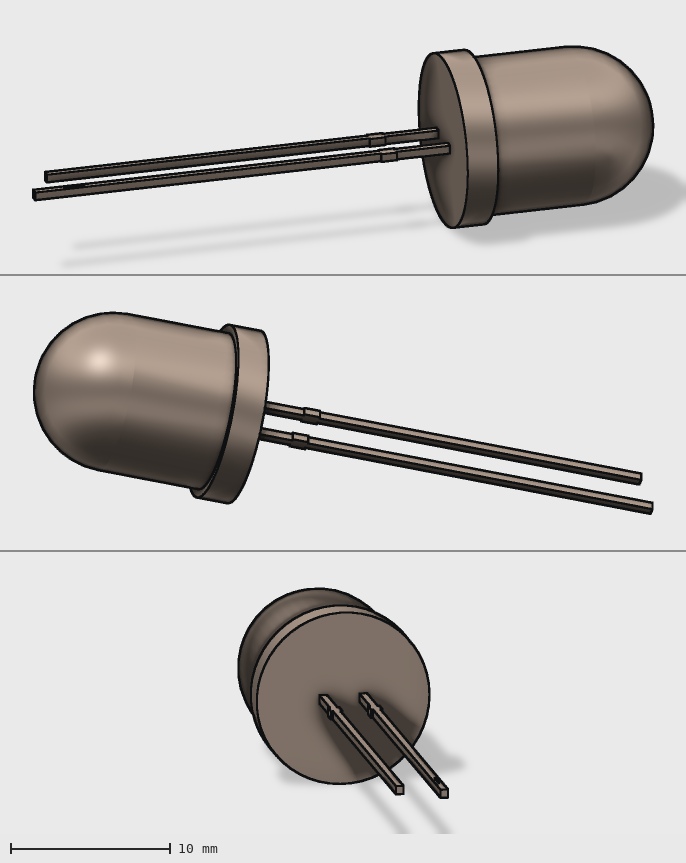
import cadquery as cq

lens_diameter = 9.95
lens_radius = lens_diameter / 2
lens_height = 13.5
flange_diameter = 11.0
flange_thickness = 2.0

overall_length = 40.5
lead_width = 0.5
lead_thickness = 0.53
lead_spacing = 2.55
long_lead = overall_length - lens_height
lead_difference = 1.5
short_lead = long_lead - lead_difference

standoff_width = 0.73
standoff_length = 1.0
standoff_offset = 3.5

notch_length = 1.35
notch_bulge = 0.1
notch_depth = 0.1
notch_tip_distance = 2.6


def make_lens():
    """Revolve the half profile of flange, cylinder and dome about Y."""
    flange_radius = flange_diameter / 2
    dome_start = lens_height - lens_radius
    return (
        cq.Workplane("XY")
        .lineTo(flange_radius, 0)
        .lineTo(flange_radius, flange_thickness)
        .lineTo(lens_radius, flange_thickness)
        .lineTo(lens_radius, dome_start)
        .radiusArc((0, lens_height), -lens_radius)
        .close()
        .revolve(360, (0, 0, 0), (0, 1, 0))
    )


def make_bar(x, start, length, width):
    """Bar centred on x, from start below the flange base, reaching down -Y."""
    return (
        cq.Workplane("XZ", origin=(x, -start, 0))
        .rect(width, lead_thickness)
        .extrude(length)
    )


def make_lead(x, length):
    wire = make_bar(x, 0, length, lead_width)
    standoff = make_bar(x, standoff_offset, standoff_length, standoff_width)
    return wire.union(standoff)


def make_notch(x):
    """Cutter with its straight side on the lead centreline, bulging to +X."""
    half_length = notch_length / 2
    centre_y = notch_tip_distance - long_lead
    return (
        cq.Workplane("XY", origin=(x, centre_y, lead_thickness / 2))
        .moveTo(0, -half_length)
        .threePointArc((notch_bulge, 0), (0, half_length))
        .close()
        .extrude(-notch_depth)
    )


result = (
    make_lens()
    .union(make_lead(-lead_spacing / 2, short_lead))
    .union(make_lead(lead_spacing / 2, long_lead))
    .cut(make_notch(lead_spacing / 2))
)